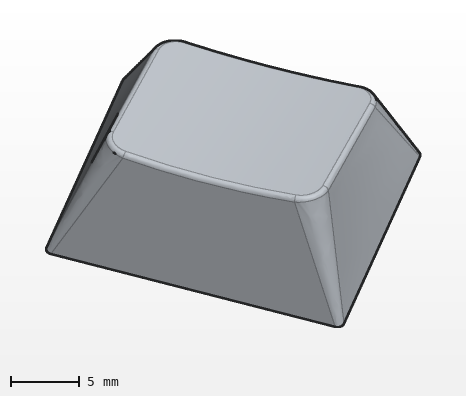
import cadquery as cq
import math

base_width = 22.85
base_depth = 18.1
base_corner_radius = 0.5

top_width = 16.78
top_front_y = -5.3
top_back_y = 8.9
top_front_z = 8.85
top_tilt = 11.4
top_corner_radius = 2.05

dish_depth = 0.5
rim_radius = 0.43

tilt_slope = math.tan(math.radians(top_tilt))
top_mid_y = (top_front_y + top_back_y) / 2
top_mid_z = top_front_z - (top_mid_y - top_front_y) * tilt_slope
top_depth = (top_back_y - top_front_y) / math.cos(math.radians(top_tilt))


def tilted_plane():
    """Plane of the top outline: local x along X, local y down the slope toward the back."""
    return cq.Plane(
        origin=(0, top_mid_y, top_mid_z),
        xDir=(1, 0, 0),
        normal=(0, tilt_slope, 1),
    )


def rounded_outline(width, depth, radius):
    """Closed wire of a rounded rectangle centred on the XY origin."""
    sketch = cq.Sketch().rect(width, depth).vertices().fillet(radius)
    return sketch.reset().faces().val().outerWire()


def make_body():
    """Ruled loft from the flat base to the smaller, tilted top."""
    base = rounded_outline(base_width, base_depth, base_corner_radius)
    top = rounded_outline(top_width, top_depth, top_corner_radius)
    tilted_top = top.moved(cq.Location(tilted_plane()))
    return cq.Workplane(obj=cq.Solid.makeLoft([base, tilted_top], True))


def make_dish():
    """Cylinder running down the slope, touching the top plane at both side edges."""
    half_width = top_width / 2
    dish_radius = (half_width**2 + dish_depth**2) / (2 * dish_depth)
    plane = tilted_plane()
    across = cq.Plane(origin=plane.origin, xDir=(1, 0, 0), normal=-plane.yDir)
    return (
        cq.Workplane(across)
        .center(0, dish_radius - dish_depth)
        .circle(dish_radius)
        .extrude(base_depth, both=True)
    )


body = make_body().cut(make_dish())
result = body.faces("%CYLINDER").edges().fillet(rim_radius)